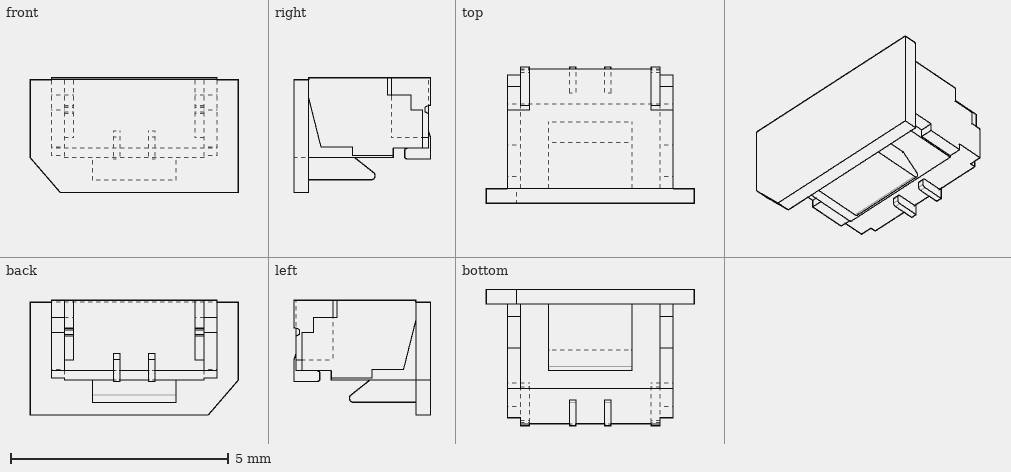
import cadquery as cq
import math

plate_width = 4.8
plate_height = 2.6
plate_thickness = 0.34
corner_cut_width = 0.695
corner_cut_height = 0.805

lever_width = 1.92
lever_bottom = 0.295
lever_tip_radius = 0.095
lever_tip_y = 1.87
lever_slope = math.radians(38.4)

top = 2.65
housing_width = 3.82
core_width = 3.215
rear_y = 3.1
housing_bottom = corner_cut_height
rear_bottom = 1.02
rear_bottom_start_y = 2.29

wall_bottom = 0.85
wall_rear_y = 2.96
wall_foot_front_y = 1.35
wall_relief_bottom = 1.05
wall_slope_foot_y = 0.625
wall_slope_top = 2.18
wall_step_y = 2.7
wall_step_z = 1.905

notch_front_y = 2.155
notch_floor = 2.245

clip_thickness = 0.205
clip_outer_x = core_width / 2
clip_inner_x = clip_outer_x - clip_thickness
clip_x_ranges = [(-clip_outer_x, -clip_inner_x), (clip_inner_x, clip_outer_x)]
clip_front_y = 2.25
clip_bottom = 1.265
clip_groove_y = 3.02
clip_groove_bottom = 1.82
clip_groove_floor_bottom = 1.86
clip_groove_floor_top = 1.965
clip_groove_bend_y = 3.07
clip_groove_bend_z = 1.995
clip_groove_top = 2.01

metal_rear_y = 3.15
contact_width = 0.145
contact_pitch = 0.805
contact_top = 1.415
contact_bevel_bottom = 1.275
contact_bottom = 0.775
foot_front_y = 2.55
foot_radius = 0.06


def profile(x_start):
    """Sketch plane for (Y, Z) outlines, extruded toward +X from x_start."""
    return cq.Workplane("YZ", origin=(x_start, 0, 0))


def block(x_range, y_range, z_range):
    """Rectangular block between pairs of X, Y and Z limits."""
    size = [end - start for start, end in (x_range, y_range, z_range)]
    corner = (x_range[0], y_range[0], z_range[0])
    return cq.Workplane().box(*size, centered=False).translate(corner)


def make_front_plate():
    left = -plate_width / 2
    outline = [
        (left + corner_cut_width, 0),
        (-left, 0),
        (-left, plate_height),
        (left, plate_height),
        (left, corner_cut_height),
    ]
    plate = cq.Workplane("XZ").polyline(outline).close().extrude(-plate_thickness)
    return plate.union(make_lever())


def make_lever():
    """Bar under the housing with a sloped, rounded rear end."""
    tip_center_y = lever_tip_y - lever_tip_radius
    tip_center_z = lever_bottom + lever_tip_radius
    slope_end_y = tip_center_y + lever_tip_radius * math.sin(lever_slope)
    slope_end_z = tip_center_z + lever_tip_radius * math.cos(lever_slope)
    slope_start_y = slope_end_y - (housing_bottom - slope_end_z) / math.tan(lever_slope)
    return (
        profile(-lever_width / 2)
        .moveTo(plate_thickness, lever_bottom)
        .lineTo(plate_thickness, housing_bottom)
        .lineTo(slope_start_y, housing_bottom)
        .lineTo(slope_end_y, slope_end_z)
        .threePointArc((lever_tip_y, tip_center_z), (tip_center_y, lever_bottom))
        .close()
        .extrude(lever_width)
    )


def make_core():
    """Middle of the housing, between the side walls."""
    outline = [
        (plate_thickness, housing_bottom),
        (rear_bottom_start_y, housing_bottom),
        (rear_bottom_start_y, rear_bottom),
        (rear_y, rear_bottom),
        (rear_y, top),
        (plate_thickness, top),
    ]
    return profile(-core_width / 2).polyline(outline).close().extrude(core_width)


def make_side_wall(x_start):
    outline = [
        (plate_thickness, wall_slope_top),
        (wall_slope_foot_y, wall_relief_bottom),
        (wall_foot_front_y, wall_relief_bottom),
        (wall_foot_front_y, wall_bottom),
        (rear_bottom_start_y, wall_bottom),
        (rear_bottom_start_y, rear_bottom),
        (wall_rear_y, rear_bottom),
        (wall_rear_y, wall_step_z),
        (wall_step_y, wall_step_z),
        (wall_step_y, notch_floor),
        (notch_front_y, notch_floor),
        (notch_front_y, top),
        (plate_thickness, top),
    ]
    wall_thickness = (housing_width - core_width) / 2
    return profile(x_start).polyline(outline).close().extrude(wall_thickness)


def make_housing():
    housing = make_core()
    for x_start in (-housing_width / 2, core_width / 2):
        housing = housing.union(make_side_wall(x_start))
    for x_range in clip_x_ranges:
        notch = block(x_range, (notch_front_y, rear_y), (notch_floor, top))
        clip_slot = block(x_range, (clip_front_y, rear_y), (clip_bottom, top))
        housing = housing.cut(notch).cut(clip_slot)
    return housing


def make_clip(x_start):
    """Upright plate with a groove across its rear edge."""
    outline = [
        (clip_front_y, clip_bottom),
        (rear_y, clip_bottom),
        (rear_y, clip_groove_bottom),
        (clip_groove_y, clip_groove_floor_bottom),
        (clip_groove_y, clip_groove_floor_top),
        (clip_groove_bend_y, clip_groove_bend_z),
        (metal_rear_y, clip_groove_top),
        (metal_rear_y, top),
        (clip_front_y, top),
    ]
    return profile(x_start).polyline(outline).close().extrude(clip_thickness)


def make_contact(x_center):
    """L-shaped contact with a beveled upper end and a rounded foot."""
    outline = [
        (rear_y, contact_top),
        (metal_rear_y, contact_bevel_bottom),
        (metal_rear_y, contact_bottom),
        (foot_front_y, contact_bottom),
        (foot_front_y, rear_bottom),
        (rear_y, rear_bottom),
    ]
    contact = profile(x_center - contact_width / 2).polyline(outline).close().extrude(contact_width)
    return contact.faces("<Y").edges("|X").fillet(foot_radius)


front_plate = make_front_plate()
housing = make_housing()
clips = [make_clip(x_start) for x_start, _ in clip_x_ranges]
contacts = [make_contact(side * contact_pitch / 2) for side in (-1, 1)]

result = cq.Compound.makeCompound(
    [body.val() for body in (front_plate, housing, *clips, *contacts)]
)